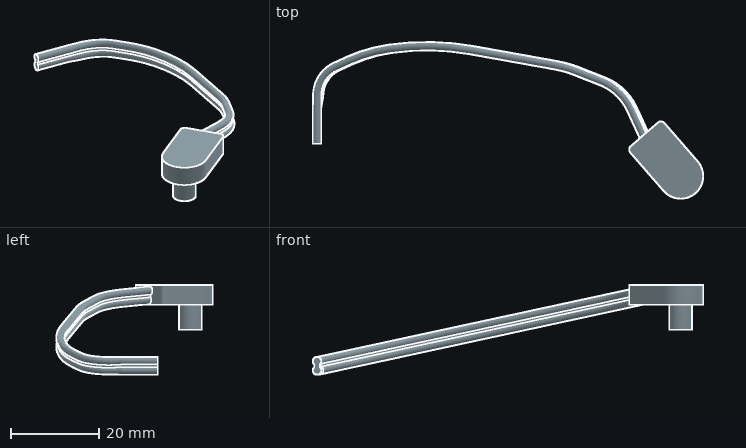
import cadquery as cq
import math

BLOCK_THICKNESS = 4.5
NOSE_RADIUS = 5.1
NOSE_X = 88.4 - NOSE_RADIUS
NOSE_Y = -7.3
BLOCK_LENGTH = 12.55
BLOCK_ANGLE = 131
CORNER_RADIUS = 1.1
PIN_DIAMETER = 5.2
TOTAL_DEPTH = 10.2

CORE_DIAMETER = 1.95
CORE_SPACING = 2.1
WEB_WIDTH = 1.2

CABLE_TILT = 12.2
CABLE_START_X = 1.2
CABLE_START_Z = -18.3

TAIL_X = CORE_DIAMETER / 2
TAIL_LENGTH = 8.05
TWIST_LENGTH = 2.7
RUN_START_Y = TAIL_LENGTH + TWIST_LENGTH

CABLE_CORNERS = [
    (CABLE_START_X, 15.6, 4.7),
    (12.6, 20.8, 4.9),
    (26.9, 22.8, 9.4),
    (57.5, 17.3, 2.5),
    (70.2, 12.3, 4.95),
]
CABLE_END = (76.4, -1.15)


def make_block():
    straight = (
        cq.Workplane("XY")
        .center(BLOCK_LENGTH / 2, 0)
        .rect(BLOCK_LENGTH, 2 * NOSE_RADIUS)
        .extrude(-BLOCK_THICKNESS)
        .edges("|Z and >X")
        .fillet(CORNER_RADIUS)
    )
    nose = cq.Workplane("XY").circle(NOSE_RADIUS).extrude(-BLOCK_THICKNESS)
    pin = cq.Workplane("XY").circle(PIN_DIAMETER / 2).extrude(-TOTAL_DEPTH)
    block = straight.union(nose).union(pin)
    return block.rotate((0, 0, 0), (0, 0, 1), BLOCK_ANGLE).translate((NOSE_X, NOSE_Y, 0))


def on_tilted_plane(x, y):
    """Plane coordinates of a point given by its X and Y."""
    along = (x - CABLE_START_X) / math.cos(math.radians(CABLE_TILT))
    return cq.Vector(along, y)


def make_cable_path(plane):
    corners = [(on_tilted_plane(x, y), setback) for x, y, setback in CABLE_CORNERS]
    end = on_tilted_plane(*CABLE_END)
    following = [corner for corner, _ in corners[1:]] + [end]
    path = cq.Workplane(plane).moveTo(0, RUN_START_Y)
    previous = cq.Vector(0, RUN_START_Y)
    for (corner, setback), target in zip(corners, following):
        bend_start = corner + (previous - corner).normalized() * setback
        bend_end = corner + (target - corner).normalized() * setback
        path = path.lineTo(bend_start.x, bend_start.y)
        path = path.tangentArcPoint((bend_end.x, bend_end.y), relative=False)
        previous = corner
    return path.lineTo(end.x, end.y)


def section_plane(x, y, tilt_angle):
    """Plane across the cable, with its long side leaning back by the tilt."""
    tilt = math.radians(tilt_angle)
    uphill = (math.cos(tilt), 0, math.sin(tilt))
    return cq.Plane(origin=(x, y, CABLE_START_Z), xDir=uphill, normal=(0, -1, 0))


def make_section():
    return (
        cq.Sketch()
        .rect(WEB_WIDTH, CORE_SPACING)
        .push([(0, CORE_SPACING / 2), (0, -CORE_SPACING / 2)])
        .circle(CORE_DIAMETER / 2)
        .clean()
    )


def make_tail():
    start_plane = section_plane(TAIL_X, 0, 0)
    return cq.Workplane(start_plane).placeSketch(make_section()).extrude(-TAIL_LENGTH)


def make_twist():
    planes = [
        section_plane(TAIL_X, TAIL_LENGTH, 0),
        section_plane(CABLE_START_X, RUN_START_Y, CABLE_TILT),
    ]

    def loft(profile):
        wires = [profile(cq.Workplane(plane)).wires().val() for plane in planes]
        return cq.Workplane(cq.Solid.makeLoft(wires, True))

    twist = loft(lambda plane: plane.rect(WEB_WIDTH, CORE_SPACING))
    for offset in (CORE_SPACING / 2, -CORE_SPACING / 2):
        core = loft(lambda plane: plane.center(0, offset).circle(CORE_DIAMETER / 2))
        twist = twist.union(core)
    return twist


def make_run():
    tilt = math.radians(CABLE_TILT)
    run_plane = cq.Plane(
        origin=(CABLE_START_X, 0, CABLE_START_Z),
        xDir=(math.cos(tilt), 0, math.sin(tilt)),
        normal=(-math.sin(tilt), 0, math.cos(tilt)),
    )
    start_plane = section_plane(CABLE_START_X, RUN_START_Y, CABLE_TILT)
    return cq.Workplane(start_plane).placeSketch(make_section()).sweep(make_cable_path(run_plane))


result = make_block().union(make_run()).union(make_twist()).union(make_tail())